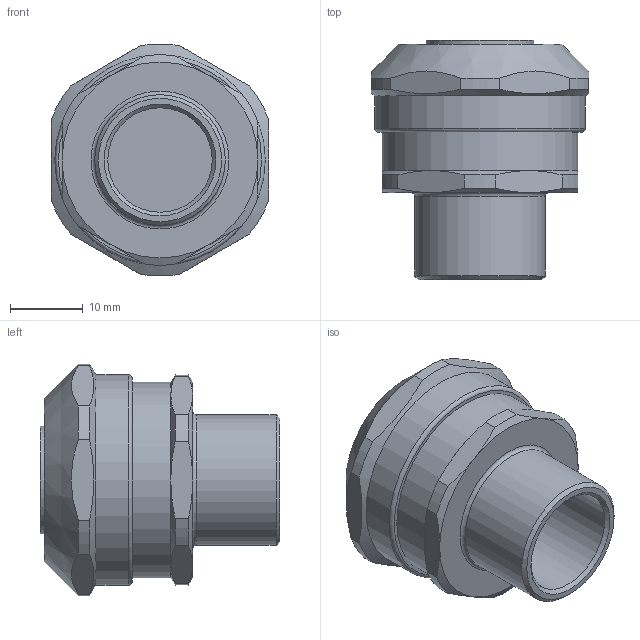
import cadquery as cq
import math


spigot_diameter = 18.0
spigot_chamfer = 0.5
neck_fillet = 0.5
bore_diameter = 14.4
bore_chamfer = 0.5

body_hex_flats = 27.0
body_hex_corners = 29.0
body_hex_start = 12.0
body_hex_end = 15.0

body_diameter = body_hex_flats
collar_diameter = 29.0
collar_start = 20.35
collar_round = 0.5

nut_hex_flats = 30.0
nut_hex_corners = 32.0
nut_start = 25.35
nut_rim_end = 27.75
cap_face = 32.45

recess_diameter = 21.0
recess_floor = 31.5
seal_diameter = 14.8
total_length = 33.0

bore_depth = nut_start

hex_chamfer_slope = math.tan(math.radians(30))
cap_cone_slope = math.tan(math.radians(45))


def cylinder(diameter, start, end):
    """Cylinder on the Y axis between two Y positions."""
    base = cq.Workplane("XZ", origin=(0, start, 0))
    return base.circle(diameter / 2).extrude(start - end)


def revolved(profile):
    """Revolve a closed (radius, y) outline about the Y axis."""
    outline = cq.Workplane("XY").polyline(profile).close()
    return outline.revolve(360, (0, 0, 0), (0, 1, 0))


def hex_prism(flats, start, end):
    """Hexagonal prism along Y with two flats facing -X and +X."""
    circumscribed = flats / math.cos(math.radians(30))
    base = cq.Workplane("XZ", origin=(0, start, 0)).transformed(rotate=(0, 0, 30))
    return base.polygon(6, circumscribed).extrude(start - end)


def make_spigot():
    tube = cylinder(spigot_diameter, 0, body_hex_start)
    return tube.faces("<Y").edges().chamfer(spigot_chamfer)


def make_body_hex():
    face_radius = body_hex_flats / 2
    corner_radius = body_hex_corners / 2
    chamfer_length = (corner_radius - face_radius) * hex_chamfer_slope
    blank = revolved([
        (0, body_hex_start),
        (face_radius, body_hex_start),
        (corner_radius, body_hex_start + chamfer_length),
        (corner_radius, body_hex_end - chamfer_length),
        (face_radius, body_hex_end),
        (0, body_hex_end),
    ])
    return blank.intersect(hex_prism(body_hex_flats, body_hex_start, body_hex_end))


def make_collar():
    collar = cylinder(collar_diameter, collar_start, nut_start)
    return collar.faces("<Y").edges().fillet(collar_round)


def make_cap_nut():
    front_radius = collar_diameter / 2
    corner_radius = nut_hex_corners / 2
    chamfer_length = (corner_radius - front_radius) * hex_chamfer_slope
    cap_face_radius = corner_radius - (cap_face - nut_rim_end) / cap_cone_slope
    blank = revolved([
        (0, nut_start),
        (front_radius, nut_start),
        (corner_radius, nut_start + chamfer_length),
        (corner_radius, nut_rim_end),
        (cap_face_radius, cap_face),
        (0, cap_face),
    ])
    nut = blank.intersect(hex_prism(nut_hex_flats, nut_start, cap_face))
    recess = cylinder(recess_diameter, recess_floor, cap_face)
    seal = cylinder(seal_diameter, recess_floor, total_length)
    return nut.cut(recess).union(seal)


def make_neck_fillet():
    """Concave ring easing the spigot into the face of the body hexagon."""
    radius = spigot_diameter / 2
    fillet_start = body_hex_start - neck_fillet
    arc_offset = neck_fillet * (1 - math.sqrt(0.5))
    outline = (
        cq.Workplane("XY")
        .moveTo(radius, fillet_start)
        .threePointArc(
            (radius + arc_offset, body_hex_start - arc_offset),
            (radius + neck_fillet, body_hex_start),
        )
        .lineTo(radius, body_hex_start)
        .close()
    )
    return outline.revolve(360, (0, 0, 0), (0, 1, 0))


def make_bore():
    bore_radius = bore_diameter / 2
    return revolved([
        (0, 0),
        (bore_radius + bore_chamfer, 0),
        (bore_radius, bore_chamfer),
        (bore_radius, bore_depth),
        (0, bore_depth),
    ])


round_body = cylinder(body_diameter, body_hex_end, collar_start)

result = (
    make_spigot()
    .union(make_neck_fillet())
    .union(make_body_hex())
    .union(round_body)
    .union(make_collar())
    .union(make_cap_nut())
    .cut(make_bore())
)